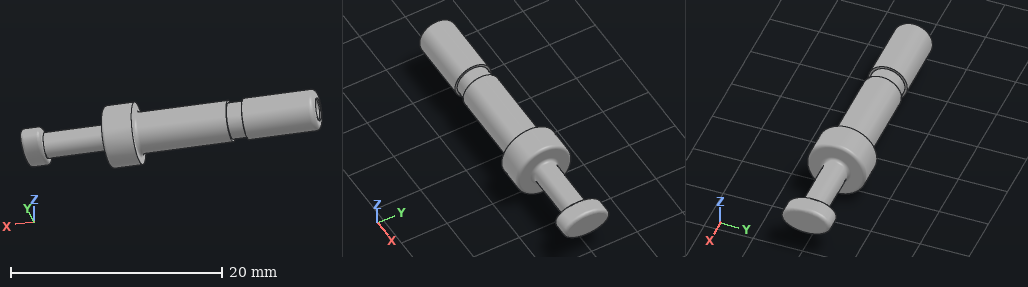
import cadquery as cq

total_length = 28.5
groove_start = 7.0
groove_width = 1.5
collar_start = 17.5
collar_width = 3.0
head_thickness = 2.0
bore_depth = 7.0

body_diameter = 4.0
groove_diameter = 3.5
collar_diameter = 6.0
neck_diameter = 2.5
bore_diameter = 2.0
head_width = 5.0
head_height = 3.0

nose_radius = 0.48
collar_edge_radius = 0.35
body_root_radius = 0.4
neck_root_radius = 0.35
head_edge_radius = 0.35
bore_chamfer = 0.1

collar_end = collar_start + collar_width
head_start = total_length - head_thickness


def cylinder(diameter, start, end):
    """Cylinder on the X axis between two stations."""
    return cq.Workplane("YZ", origin=(start, 0, 0)).circle(diameter / 2).extrude(end - start)


def root_fillet(diameter, radius, face, direction):
    """Concave ring that blends a shaft into a collar face; direction points away from the face."""
    shaft_radius = diameter / 2
    middle = radius * (1 - 0.5**0.5)
    return (
        cq.Workplane("XY")
        .moveTo(face, 0)
        .lineTo(face, shaft_radius + radius)
        .threePointArc(
            (face + direction * middle, shaft_radius + middle),
            (face + direction * radius, shaft_radius),
        )
        .lineTo(face + direction * radius, 0)
        .close()
        .revolve(360, (0, 0, 0), (1, 0, 0))
    )


def make_head():
    """Oval head, long across Y, with both rims rounded."""
    oval = cq.Workplane("YZ", origin=(head_start, 0, 0)).ellipse(head_width / 2, head_height / 2)
    return oval.extrude(head_thickness).faces("<X or >X").edges().fillet(head_edge_radius)


body = cylinder(body_diameter, 0, collar_start).faces("<X").edges().fillet(nose_radius)
groove_end = groove_start + groove_width
groove = cylinder(collar_diameter, groove_start, groove_end).cut(
    cylinder(groove_diameter, groove_start, groove_end)
)
body = body.cut(groove)

collar = cylinder(collar_diameter, collar_start, collar_end).faces(">X").edges().fillet(collar_edge_radius)

bore = cylinder(bore_diameter, 0, bore_depth)
mouth = cq.Workplane(
    cq.Solid.makeCone(
        bore_diameter / 2 + bore_chamfer,
        bore_diameter / 2,
        bore_chamfer,
        cq.Vector(0, 0, 0),
        cq.Vector(1, 0, 0),
    )
)

neck = cylinder(neck_diameter, collar_end, head_start)

result = (
    body.union(collar)
    .union(root_fillet(body_diameter, body_root_radius, collar_start, -1))
    .union(neck)
    .union(root_fillet(neck_diameter, neck_root_radius, collar_end, 1))
    .union(make_head())
    .cut(bore)
    .cut(mouth)
)